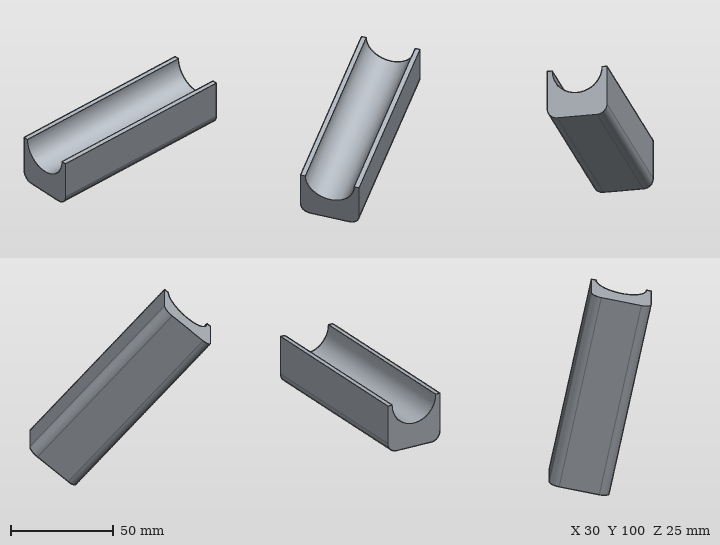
import cadquery as cq

length = 100.0
width = 30.0
height = 25.0

rim_width = 2.5
trough_radius = width / 2 - rim_width

bottom_edge_radius = 5.0


def make_block():
    """Block centred in X and Y, standing on Z = 0, with rounded lower long edges."""
    block = cq.Workplane("XY").box(width, length, height, centered=(True, True, False))
    return block.faces("<Z").edges("|Y").fillet(bottom_edge_radius)


def make_trough():
    """Full-length cylinder whose axis lies in the top face."""
    return (
        cq.Workplane("XZ", origin=(0, length / 2, height))
        .circle(trough_radius)
        .extrude(length)
    )


result = make_block().cut(make_trough())